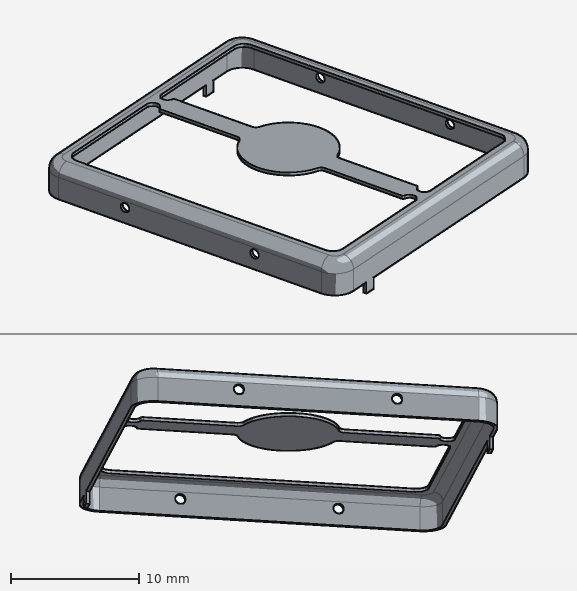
import cadquery as cq
import math

length = 29.0
width = 26.0
skirt_height = 3.0
sheet = 0.3
corner_radius = 1.8
top_radius = 1.02

foot_drop = 1.02
foot_width = 1.0
foot_offset = 9.0

hole_diameter = 0.8
hole_offset = 6.25
hole_height = 1.4

rim_width = 1.5
window_corner_radius = 1.0
bar_half_width = 1.0
neck_half_width = 0.4
disc_radius = 4.0
bar_end_radius = 0.17
disc_blend_radius = 0.5


def rounded_block(inset):
    """Solid block with rounded corners and top edge, inset from the outer skin."""
    return (
        cq.Workplane("XY")
        .rect(length - 2 * inset, width - 2 * inset)
        .extrude(skirt_height - inset)
        .edges("|Z")
        .fillet(corner_radius - inset)
        .faces(">Z")
        .edges()
        .fillet(top_radius - inset)
    )


def window_cutter():
    """Cutter for the +Y opening, bounded below by the bar, its necks and the disc."""
    side_x = length / 2 - rim_width
    far_y = width / 2 - rim_width
    notch_radius = bar_half_width - neck_half_width
    notch_x = side_x - notch_radius
    bar_end_x = side_x - 2 * notch_radius
    disc_x = math.sqrt(disc_radius**2 - bar_half_width**2)
    cutter = (
        cq.Workplane("XY")
        .moveTo(-side_x, far_y)
        .lineTo(-side_x, bar_half_width)
        .threePointArc((-notch_x, neck_half_width), (-bar_end_x, bar_half_width))
        .lineTo(-disc_x, bar_half_width)
        .threePointArc((0, disc_radius), (disc_x, bar_half_width))
        .lineTo(bar_end_x, bar_half_width)
        .threePointArc((notch_x, neck_half_width), (side_x, bar_half_width))
        .lineTo(side_x, far_y)
        .close()
        .extrude(skirt_height)
    )

    def round_edges(body, x, y, radius):
        for sign in (-1, 1):
            picker = cq.selectors.NearestToPointSelector((sign * x, y, skirt_height / 2))
            body = body.edges(picker).fillet(radius)
        return body

    cutter = round_edges(cutter, side_x, far_y, window_corner_radius)
    cutter = round_edges(cutter, bar_end_x, bar_half_width, bar_end_radius)
    return round_edges(cutter, disc_x, bar_half_width, disc_blend_radius)


cover = rounded_block(0).cut(rounded_block(sheet))

window = window_cutter()
cover = cover.cut(window).cut(window.mirror("XZ"))

holes = (
    cq.Workplane("XZ")
    .pushPoints([(-hole_offset, hole_height), (hole_offset, hole_height)])
    .circle(hole_diameter / 2)
    .extrude(width, both=True)
)
cover = cover.cut(holes)

foot_height = foot_drop + skirt_height / 2
foot_x = (length - sheet) / 2
foot_points = [(-foot_x, foot_offset), (foot_x, -foot_offset)]
feet = (
    cq.Workplane("XY")
    .workplane(offset=-foot_drop)
    .pushPoints(foot_points)
    .rect(sheet, foot_width)
    .extrude(foot_height)
)
result = cover.union(feet)